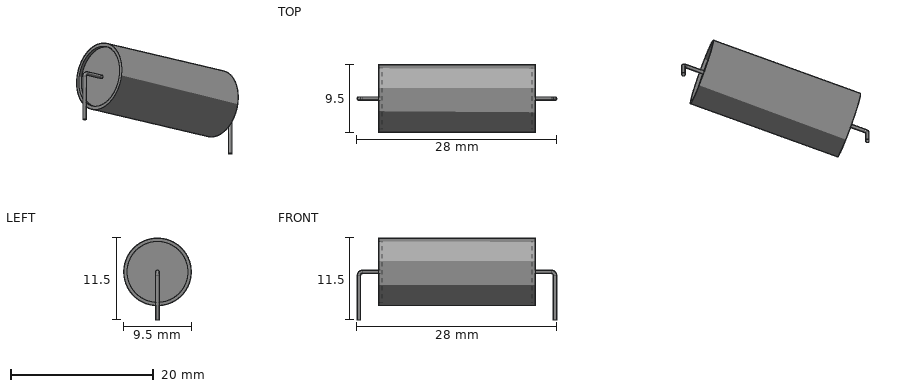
import cadquery as cq


body_diameter = 9.5
body_length = 22.0
body_radius = body_diameter / 2
axis_height = body_radius

recess_diameter = 8.55
recess_depth = (body_diameter - recess_diameter) / 2

lead_diameter = 0.5
lead_spacing = 27.5
lead_drop = 2.0
bend_radius = 0.5


def make_body():
    """Cylinder along X, centred on the origin in X, recessed at both ends."""
    floor_length = body_length - 2 * recess_depth
    section = cq.Workplane("YZ").center(0, axis_height)
    cylinder = section.workplane(offset=-body_length / 2).circle(body_radius).extrude(body_length)
    for side in (-1, 1):
        recess = (
            section.workplane(offset=side * floor_length / 2)
            .circle(recess_diameter / 2)
            .extrude(side * recess_depth)
        )
        cylinder = cylinder.cut(recess)
    return cylinder


def make_lead(side):
    """Round wire leaving one end of the body and bent downwards; side is -1 or +1."""
    lead_x = side * lead_spacing / 2
    start_x = side * (body_length / 2 - recess_depth)
    bend_start = (lead_x - side * bend_radius, axis_height)
    bend_end = (lead_x, axis_height - bend_radius)
    path = (
        cq.Workplane("XZ")
        .moveTo(start_x, axis_height)
        .lineTo(*bend_start)
        .tangentArcPoint(bend_end, relative=False)
        .lineTo(lead_x, -lead_drop)
    )
    profile = cq.Workplane("YZ", origin=(start_x, 0, axis_height)).circle(lead_diameter / 2)
    return profile.sweep(path)


result = make_body()
for side in (-1, 1):
    result = result.union(make_lead(side))